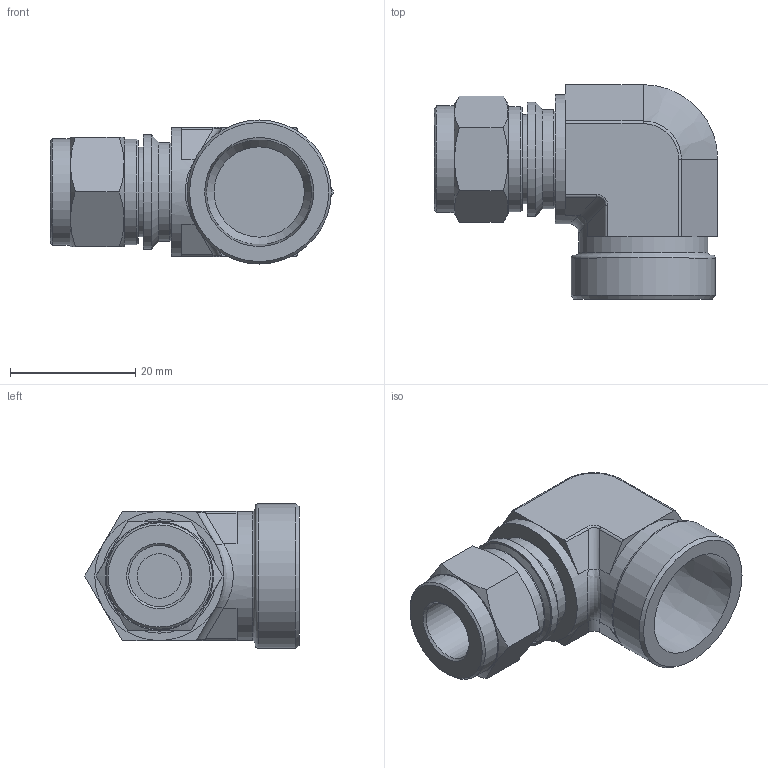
import cadquery as cq
import math


BODY_FLATS = 20.6
BODY_INNER_RADIUS = BODY_FLATS / 2
BODY_CORNER_RADIUS = BODY_INNER_RADIUS / math.cos(math.radians(30))
BODY_LENGTH = 12.4
CROTCH_FILLET = 1.5
BODY_EDGE_FILLET = 0.5
FLAT_TOLERANCE = 0.01

TUBE_END = 33.34
NUT_START = 30.17
NUT_END = 21.5
NUT_SKIRT_END = 19.3
RING_START = 18.54
RING_CONE_START = 17.15
RING_CONE_END = 16.05
UNDERCUT_START = 14.27
COLLAR_START = 14.05
NUT_NOSE_DIAMETER = 17.0
NUT_SKIRT_DIAMETER = 16.8
NECK_DIAMETER = 14.28
RING_DIAMETER = 18.25
RING_RECESS_DIAMETER = 17.6
RING_RECESS_DEPTH = 0.7
SHANK_DIAMETER = 15.8
UNDERCUT_DIAMETER = 15.5
NUT_NOSE_CHAMFER = 0.35
NUT_SKIRT_CHAMFER_LENGTH = 0.3
NUT_SKIRT_CHAMFER_WIDTH = 0.15

NUT_FLATS = 17.46
NUT_CORNER_RADIUS = NUT_FLATS / 2 / math.cos(math.radians(30))
NUT_CHAMFER_DIAMETER = 17.3
NUT_CHAMFER_ANGLE = 30

TUBE_BORE_DIAMETER = 9.73
TUBE_BORE_CHAMFER = 0.35
TUBE_BORE_DEPTH = 16.0
FLOW_BORE_DIAMETER = 7.11
FLOW_BORE_DEPTH = 20.0

PORT_END = 22.33
PORT_FLANGE_START = 15.3
PORT_FLANGE_DIAMETER = 23.0
PORT_BACK_ROUND = 0.475
PORT_FRONT_CHAMFER_LENGTH = 0.6
PORT_FRONT_CHAMFER_WIDTH = 0.4

PORT_MOUTH_DIAMETER = 17.4
PORT_TAPER_END_DIAMETER = 16.8
PORT_FLOOR_DIAMETER = 14.4
PORT_TAPER_DEPTH = 12.0
PORT_FLOOR_DEPTH = 14.0


def revolve_about_x(points):
    """Solid of revolution about X from (x, radius) points."""
    return cq.Workplane("XY").polyline(points).close().revolve(360, (0, 0, 0), (1, 0, 0))


def arm_section(plane):
    """Hexagon whose corner on the inside of the elbow is rounded."""
    half_flat = BODY_CORNER_RADIUS / 2
    tangent_width = BODY_INNER_RADIUS * math.cos(math.radians(30))
    tangent_height = BODY_INNER_RADIUS * math.sin(math.radians(30))
    return (
        cq.Workplane(plane)
        .moveTo(-tangent_width, -tangent_height)
        .lineTo(-half_flat, -BODY_INNER_RADIUS)
        .lineTo(half_flat, -BODY_INNER_RADIUS)
        .lineTo(BODY_CORNER_RADIUS, 0)
        .lineTo(half_flat, BODY_INNER_RADIUS)
        .lineTo(-half_flat, BODY_INNER_RADIUS)
        .lineTo(-tangent_width, tangent_height)
        .threePointArc((-BODY_INNER_RADIUS, 0), (-tangent_width, -tangent_height))
        .close()
    )


def make_bend():
    """Outer half of the hexagon swept a quarter turn about Z."""
    half_flat = BODY_CORNER_RADIUS / 2
    half_section = [
        (0, -BODY_INNER_RADIUS),
        (half_flat, -BODY_INNER_RADIUS),
        (BODY_CORNER_RADIUS, 0),
        (half_flat, BODY_INNER_RADIUS),
        (0, BODY_INNER_RADIUS),
    ]
    return cq.Workplane("XZ").polyline(half_section).close().revolve(90, (0, 0, 0), (0, 1, 0))


def make_body():
    """Two hexagonal arms joined by the bend."""
    tube_arm = arm_section("YZ").extrude(-BODY_LENGTH)
    port_arm = arm_section("XZ").extrude(BODY_LENGTH)
    return tube_arm.union(port_arm).union(make_bend())


def make_tube_arm():
    """Round steps of the tube arm, from the end face of the nut to the collar on the body."""
    nose = NUT_NOSE_DIAMETER / 2
    skirt = NUT_SKIRT_DIAMETER / 2
    neck = NECK_DIAMETER / 2
    ring = RING_DIAMETER / 2
    recess = RING_RECESS_DIAMETER / 2
    shank = SHANK_DIAMETER / 2
    undercut = UNDERCUT_DIAMETER / 2
    return revolve_about_x([
        (-TUBE_END, 0),
        (-TUBE_END, nose - NUT_NOSE_CHAMFER),
        (-TUBE_END + NUT_NOSE_CHAMFER, nose),
        (-NUT_END, nose),
        (-NUT_END, skirt),
        (-NUT_SKIRT_END - NUT_SKIRT_CHAMFER_LENGTH, skirt),
        (-NUT_SKIRT_END, skirt - NUT_SKIRT_CHAMFER_WIDTH),
        (-NUT_SKIRT_END, neck),
        (-RING_START, neck),
        (-RING_START + RING_RECESS_DEPTH, recess),
        (-RING_START, recess),
        (-RING_START, ring),
        (-RING_CONE_START, ring),
        (-RING_CONE_END, shank),
        (-UNDERCUT_START, shank),
        (-UNDERCUT_START, undercut),
        (-COLLAR_START, undercut),
        (-COLLAR_START, BODY_INNER_RADIUS),
        (-BODY_LENGTH, BODY_INNER_RADIUS),
        (-BODY_LENGTH, 0),
    ])


def make_nut():
    """Hexagonal part of the nut with both ends chamfered conically."""
    hexagon = (
        cq.Workplane("YZ", origin=(-NUT_START, 0, 0))
        .polygon(6, 2 * NUT_CORNER_RADIUS)
        .extrude(NUT_START - NUT_END)
    )
    rim = NUT_CHAMFER_DIAMETER / 2
    chamfer_length = (NUT_CORNER_RADIUS - rim) * math.tan(math.radians(NUT_CHAMFER_ANGLE))
    envelope = revolve_about_x([
        (-NUT_START, 0),
        (-NUT_START, rim),
        (-NUT_START + chamfer_length, NUT_CORNER_RADIUS),
        (-NUT_END - chamfer_length, NUT_CORNER_RADIUS),
        (-NUT_END, rim),
        (-NUT_END, 0),
    ])
    return hexagon.intersect(envelope)


def make_port_arm():
    """Neck and flange of the port arm, rounded where the neck meets the flange and at the flange rim."""
    neck = BODY_INNER_RADIUS
    flange = PORT_FLANGE_DIAMETER / 2
    arc_offset = PORT_BACK_ROUND * (1 - math.sqrt(0.5))
    return (
        cq.Workplane("XY")
        .moveTo(0, -BODY_LENGTH)
        .lineTo(-neck, -BODY_LENGTH)
        .lineTo(-neck, -PORT_FLANGE_START + PORT_BACK_ROUND)
        .threePointArc(
            (-neck - arc_offset, -PORT_FLANGE_START + arc_offset),
            (-neck - PORT_BACK_ROUND, -PORT_FLANGE_START),
        )
        .lineTo(-flange + PORT_BACK_ROUND, -PORT_FLANGE_START)
        .threePointArc(
            (-flange + arc_offset, -PORT_FLANGE_START - arc_offset),
            (-flange, -PORT_FLANGE_START - PORT_BACK_ROUND),
        )
        .lineTo(-flange, -PORT_END + PORT_FRONT_CHAMFER_LENGTH)
        .lineTo(-flange + PORT_FRONT_CHAMFER_WIDTH, -PORT_END)
        .lineTo(0, -PORT_END)
        .close()
        .revolve(360, (0, 0, 0), (0, 1, 0))
    )


def make_tube_bore():
    """Chamfered tube socket followed by a narrower flow bore."""
    tube = TUBE_BORE_DIAMETER / 2
    flow = FLOW_BORE_DIAMETER / 2
    return revolve_about_x([
        (-TUBE_END, 0),
        (-TUBE_END, tube + TUBE_BORE_CHAMFER),
        (-TUBE_END + TUBE_BORE_CHAMFER, tube),
        (-TUBE_END + TUBE_BORE_DEPTH, tube),
        (-TUBE_END + TUBE_BORE_DEPTH, flow),
        (-TUBE_END + FLOW_BORE_DEPTH, flow),
        (-TUBE_END + FLOW_BORE_DEPTH, 0),
    ])


def make_port_bore():
    """Slightly tapered bore that narrows in a steeper cone to a flat floor."""
    return (
        cq.Workplane("XY")
        .polyline([
            (0, -PORT_END),
            (PORT_MOUTH_DIAMETER / 2, -PORT_END),
            (PORT_TAPER_END_DIAMETER / 2, -PORT_END + PORT_TAPER_DEPTH),
            (PORT_FLOOR_DIAMETER / 2, -PORT_END + PORT_FLOOR_DEPTH),
            (0, -PORT_END + PORT_FLOOR_DEPTH),
        ])
        .close()
        .revolve(360, (0, 0, 0), (0, 1, 0))
    )


def round_elbow(elbow):
    """Fillet the crotch between the arms, then the edges of the flat top and bottom."""
    half_flat = BODY_CORNER_RADIUS / 2
    crotch_edges = cq.selectors.BoxSelector(
        (-BODY_INNER_RADIUS, -BODY_INNER_RADIUS, -BODY_INNER_RADIUS),
        (-half_flat, -half_flat, BODY_INNER_RADIUS),
    )
    elbow = elbow.edges(crotch_edges).fillet(CROTCH_FILLET)

    inset = BODY_LENGTH - BODY_EDGE_FILLET
    for height in (-BODY_INNER_RADIUS, BODY_INNER_RADIUS):
        flat_edges = cq.selectors.BoxSelector(
            (-inset, -inset, height - FLAT_TOLERANCE),
            (BODY_LENGTH, BODY_LENGTH, height + FLAT_TOLERANCE),
        )
        elbow = elbow.edges(flat_edges).fillet(BODY_EDGE_FILLET)
    return elbow


elbow = make_body().union(make_tube_arm()).union(make_port_arm()).clean()
fitting = round_elbow(elbow).union(make_nut())
result = fitting.cut(make_tube_bore()).cut(make_port_bore())